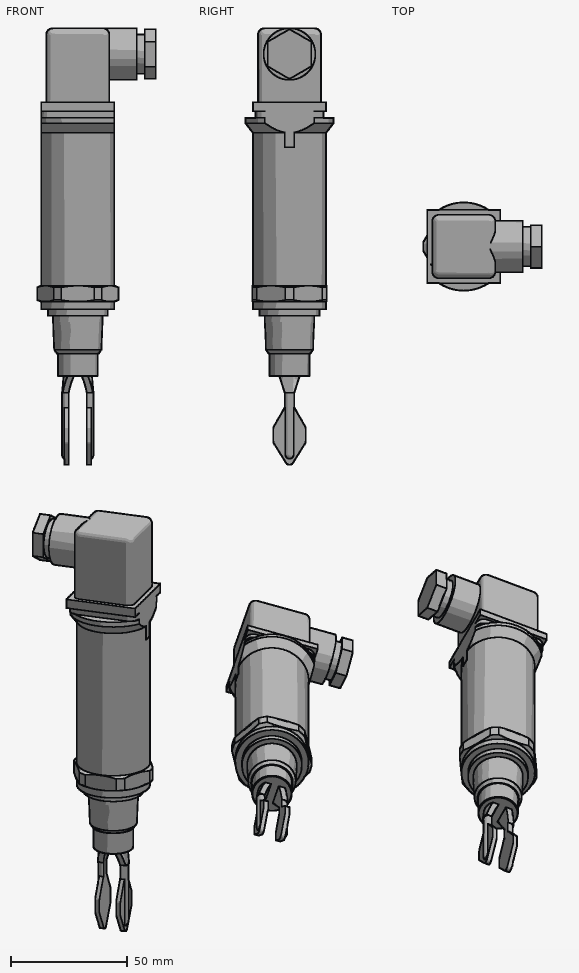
import cadquery as cq
import math

total_height = 187.5

stem_bottom = 38.0
rod_top = 31.0
rod_radius = 2.1
rod_offset = 4.7
rod_end_z = 4.4
fork_gap_half = 3.8
blade_thickness = 2.0
blade_half_width = 7.0
blade_top = 24.6
blade_wide_top = 16.1
blade_tip_half_angle = math.radians(32)
blade_corner_radius = 2.2
blade_tip_radius = 1.8
blade_apex_z = blade_tip_radius * (1 - 1 / math.sin(blade_tip_half_angle))
blade_wide_bottom = blade_apex_z + blade_half_width / math.tan(blade_tip_half_angle)
root_half_width = 4.35
root_top_radius = 6.2
root_bottom_radius = rod_offset + rod_radius
root_arch_top_x = 1.7
root_arch_mid_x = 2.85
root_arch_mid_z = 35.0

stem_radius = 8.6
stem_edge_chamfer = 0.3
thread_chamfer_bottom = 47.8
thread_chamfer_radius = 9.0
thread_bottom = 49.5
thread_bottom_radius = 10.2
thread_taper_top = 61.4
thread_radius = 10.67
flange_bottom = 64.0
flange_radius = 12.9

body_bottom = 66.8
body_width = 31.5
body_radius = body_width / 2
hex_bottom = 70.0
hex_height = 7.0
hex_flats = 32.0
hex_clip_radius = 17.5
hex_chamfer_height = 0.8

collar_bottom = 142.6
collar_edge_bottom = 146.8
collar_top = 149.0
collar_radius = 19.0
tab_bottom = 136.4
tab_width = 4.0
neck_depth = 29.2
neck_corner_radius = 4.0
plate_bottom = 151.8
plate_top = 155.8

housing_width = 27.2
housing_edge_radius = 2.9
gland_radius = 11.1
gland_axis_z = total_height - gland_radius
gland_start = housing_width / 2 - housing_edge_radius
gland_end = 25.4
gland_neck_radius = 8.5
gland_nut_start = 28.7
gland_nut_end = 33.58
gland_nut_flats = 18.5


def hexagon_diameter(flats):
    """Circumscribed diameter of a hexagon, given its width across flats."""
    return flats / math.cos(math.pi / 6)


def turned_body():
    """Stem, thread, flange, body tube and flared collar as one revolved profile."""
    profile = [
        (0, stem_bottom),
        (stem_radius - stem_edge_chamfer, stem_bottom),
        (stem_radius, stem_bottom + stem_edge_chamfer),
        (stem_radius, thread_chamfer_bottom),
        (thread_chamfer_radius, thread_chamfer_bottom),
        (thread_bottom_radius, thread_bottom),
        (thread_radius, thread_taper_top),
        (thread_radius, flange_bottom),
        (flange_radius, flange_bottom),
        (flange_radius, body_bottom),
        (body_radius, body_bottom),
        (body_radius, collar_bottom),
        (collar_radius, collar_edge_bottom),
        (collar_radius, collar_top),
        (0, collar_top),
    ]
    turned = cq.Workplane("XZ").polyline(profile).close().revolve(360, (0, 0), (0, 1))
    trim = cq.Workplane("XY").box(
        body_width, 2 * collar_radius, total_height, centered=(True, True, False)
    )
    return turned.intersect(trim)


def body_hexagon():
    """Hexagon with its corners turned to a cylinder and chamfered at both ends."""
    hexagon = (
        cq.Workplane("XY", origin=(0, 0, hex_bottom))
        .polygon(6, hexagon_diameter(hex_flats))
        .extrude(hex_height)
    )
    hex_top = hex_bottom + hex_height
    profile = [
        (0, hex_bottom),
        (body_radius, hex_bottom),
        (hex_clip_radius, hex_bottom + hex_chamfer_height),
        (hex_clip_radius, hex_top - hex_chamfer_height),
        (body_radius, hex_top),
        (0, hex_top),
    ]
    envelope = cq.Workplane("XZ").polyline(profile).close().revolve(360, (0, 0), (0, 1))
    return hexagon.intersect(envelope)


def locating_tabs():
    """Narrow flats running down the tube below the trimmed collar."""
    return cq.Workplane("XY", origin=(0, 0, tab_bottom)).box(
        body_width, tab_width, collar_top - tab_bottom, centered=(True, True, False)
    )


def neck_and_plate():
    """Rounded rectangular neck carrying the square base plate of the plug."""
    neck = (
        cq.Workplane("XY", origin=(0, 0, collar_top))
        .rect(body_width, neck_depth)
        .extrude(plate_bottom - collar_top)
        .edges("|Z")
        .fillet(neck_corner_radius)
    )
    plate = (
        cq.Workplane("XY", origin=(0, 0, plate_bottom))
        .rect(body_width, body_width)
        .extrude(plate_top - plate_bottom)
    )
    return neck.union(plate)


def plug_housing():
    """Square plug housing with rounded vertical and top edges."""
    return (
        cq.Workplane("XY", origin=(0, 0, plate_top))
        .rect(housing_width, housing_width)
        .extrude(total_height - plate_top)
        .edges("|Z or >Z")
        .fillet(housing_edge_radius)
    )


def gland_plane(x):
    """Workplane across the gland axis at the given X."""
    return cq.Workplane("YZ", origin=(x, 0, gland_axis_z))


def cable_gland():
    """Gland barrel, narrower neck and hexagonal clamping nut."""
    barrel = gland_plane(gland_start).circle(gland_radius).extrude(gland_end - gland_start)
    neck = gland_plane(gland_end).circle(gland_neck_radius).extrude(gland_nut_start - gland_end)
    nut = (
        gland_plane(gland_nut_start)
        .transformed(rotate=(0, 0, 90))
        .polygon(6, hexagon_diameter(gland_nut_flats))
        .extrude(gland_nut_end - gland_nut_start)
    )
    return barrel.union(neck).union(nut)


def fork_blade():
    """Paddle-shaped blade with rounded side corners and tip."""
    outline = [
        (rod_radius, blade_top),
        (blade_half_width, blade_wide_top),
        (blade_half_width, blade_wide_bottom),
        (0, blade_apex_z),
        (-blade_half_width, blade_wide_bottom),
        (-blade_half_width, blade_wide_top),
        (-rod_radius, blade_top),
    ]
    blade = (
        cq.Workplane("YZ", origin=(fork_gap_half, 0, 0))
        .polyline(outline)
        .close()
        .extrude(blade_thickness)
    )
    blade = blade.edges("|X and (<Y or >Y)").fillet(blade_corner_radius)
    return blade.edges("|X and <Z").fillet(blade_tip_radius)


def fork_rod():
    """Round rod with a ball end, flattened on the side facing the other tine."""
    rod = (
        cq.Workplane("XY", origin=(rod_offset, 0, rod_end_z))
        .circle(rod_radius)
        .extrude(rod_top - rod_end_z)
    )
    ball = cq.Workplane("XY", origin=(rod_offset, 0, rod_end_z)).sphere(rod_radius)
    outer_side = cq.Workplane("XY", origin=(fork_gap_half, 0, 0)).box(
        2 * rod_radius, 2 * rod_radius, rod_top, centered=(False, True, False)
    )
    return rod.union(ball).intersect(outer_side)


def fork_root():
    """Root of a tine, widening from the rod up to the stem."""
    side_profile = [
        (-rod_radius, rod_top),
        (rod_radius, rod_top),
        (root_half_width, stem_bottom),
        (-root_half_width, stem_bottom),
    ]
    wedge = cq.Workplane("YZ").polyline(side_profile).close().extrude(root_bottom_radius)
    section = (
        cq.Workplane("XZ")
        .moveTo(fork_gap_half, rod_top)
        .threePointArc((root_arch_mid_x, root_arch_mid_z), (root_arch_top_x, stem_bottom))
        .lineTo(root_bottom_radius, stem_bottom)
        .lineTo(root_bottom_radius, rod_top)
        .close()
        .extrude(root_half_width, both=True)
    )
    cone = (
        cq.Workplane("XZ")
        .polyline([
            (0, rod_top),
            (root_bottom_radius, rod_top),
            (root_top_radius, stem_bottom),
            (0, stem_bottom),
        ])
        .close()
        .revolve(360, (0, 0), (0, 1))
    )
    return wedge.intersect(section).intersect(cone)


def fork_tine():
    """One complete tine on the +X side."""
    return fork_rod().union(fork_blade()).union(fork_root())


tine = fork_tine()
result = (
    turned_body()
    .union(body_hexagon())
    .union(locating_tabs())
    .union(neck_and_plate())
    .union(plug_housing())
    .union(cable_gland())
    .union(tine)
    .union(tine.mirror("YZ"))
)